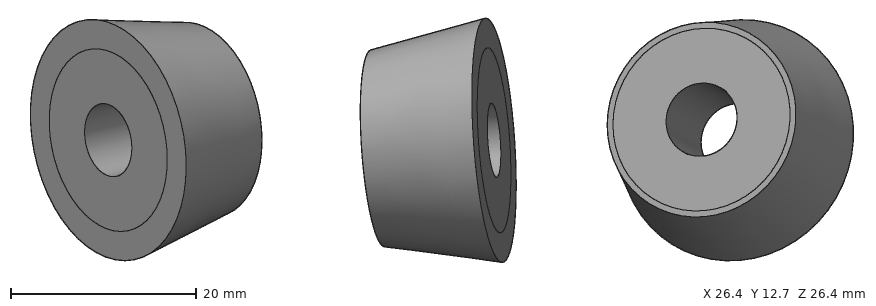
import cadquery as cq

length = 12.7
wide_diameter = 26.42
narrow_diameter = 21.32
core_diameter = 20.0
bore_diameter = 8.0

front_y = -length / 2
back_y = length / 2


def make_sleeve():
    """Tapered outer sleeve with a straight through hole for the core."""
    core_radius = core_diameter / 2
    return (
        cq.Workplane("XY")
        .moveTo(core_radius, front_y)
        .lineTo(wide_diameter / 2, front_y)
        .lineTo(narrow_diameter / 2, back_y)
        .lineTo(core_radius, back_y)
        .close()
        .revolve(360, (0, 0, 0), (0, 1, 0))
    )


def make_core():
    """Straight round core with a through bore, flush with both sleeve ends."""
    return (
        cq.Workplane("XZ", origin=(0, front_y, 0))
        .circle(core_diameter / 2)
        .circle(bore_diameter / 2)
        .extrude(-length)
    )


sleeve = make_sleeve()
core = make_core()

result = cq.Compound.makeCompound([sleeve.val(), core.val()])